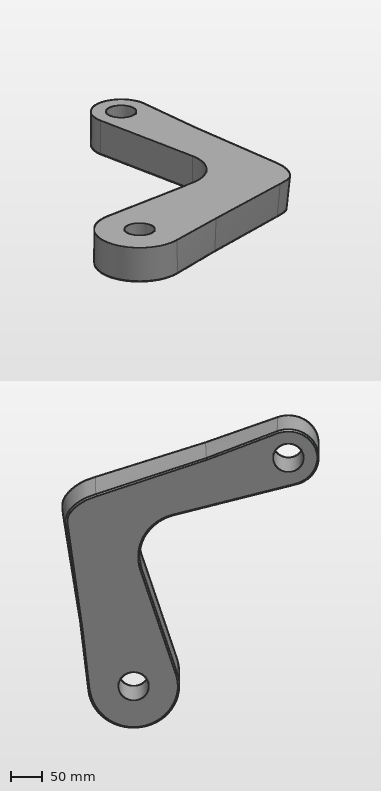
import cadquery as cq
import math

hole_radius = 23.95
arm_radius = 2 * hole_radius
leg_radius = 3 * hole_radius
inner_bend_radius = 3 * hole_radius
thickness = 59.87
bottom_chamfer = 2.6

arm_center = (0.0, 0.0)
leg_center = (383.19, -251.95)

arm_inner_heading = math.radians(9.4)
leg_inner_heading = math.radians(-82.8)

arm_kink = (118.0, 56.0)
leg_kink = (421.6, -131.0)
elbow_start = (300.0, 74.75)
elbow_apex = (320.0, 75.7)
elbow_shoulder = (359.6, 62.0)
elbow_end = (375.0, 30.0)
elbow_center = (318.0, 15.0)

elbow_lean_angle = math.radians(5.7)
elbow_lean = thickness * math.tan(elbow_lean_angle)
kink_lean = 3.4


def along(point, heading, distance):
    """Point reached from `point` by moving `distance` in direction `heading`."""
    return (point[0] + distance * math.cos(heading), point[1] + distance * math.sin(heading))


def heading_to(start, end):
    return math.atan2(end[1] - start[1], end[0] - start[0])


def pulled_in(point, distance):
    """Point moved by `distance` towards the elbow center."""
    return along(point, heading_to(point, elbow_center), distance)


def tangent_point(center, radius, outside_point, side):
    """Touch point of the tangent from `outside_point`; side is +1 counterclockwise, -1 clockwise."""
    reach = math.dist(center, outside_point)
    swing = math.acos(radius / reach)
    return along(center, heading_to(center, outside_point) + side * swing, radius)


def crossing(point_a, heading_a, point_b, heading_b):
    """Intersection of two lines, each given by a point and a heading."""
    dx = point_b[0] - point_a[0]
    dy = point_b[1] - point_a[1]
    travel = (dx * math.sin(heading_b) - dy * math.cos(heading_b)) / math.sin(heading_b - heading_a)
    return along(point_a, heading_a, travel)


def outline(plane, elbow_inset, kink_inset):
    """Closed outline of the lever, with its outer wall moved inward by the insets."""
    arm_bend = (arm_kink[0], arm_kink[1] - kink_inset)
    leg_bend = (leg_kink[0] - kink_inset, leg_kink[1])
    start, apex, shoulder, end = [
        pulled_in(point, elbow_inset)
        for point in (elbow_start, elbow_apex, elbow_shoulder, elbow_end)
    ]
    start_heading = heading_to(arm_bend, start)
    end_heading = heading_to(end, leg_bend)

    arm_outer = tangent_point(arm_center, arm_radius, arm_bend, 1)
    arm_inner = along(arm_center, arm_inner_heading - math.pi / 2, arm_radius)
    arm_tip = (arm_center[0] - arm_radius, arm_center[1])
    leg_outer = tangent_point(leg_center, leg_radius, leg_bend, -1)
    leg_inner = along(leg_center, leg_inner_heading - math.pi / 2, leg_radius)
    leg_tip = (leg_center[0], leg_center[1] - leg_radius)

    inner_corner = crossing(arm_inner, arm_inner_heading, leg_inner, leg_inner_heading)
    turn = arm_inner_heading - leg_inner_heading
    setback = inner_bend_radius * math.tan(turn / 2)
    bend_start = along(inner_corner, arm_inner_heading, -setback)
    bend_end = along(inner_corner, leg_inner_heading, setback)
    bend_center = along(bend_start, arm_inner_heading - math.pi / 2, inner_bend_radius)
    bend_middle = along(bend_center, heading_to(bend_center, inner_corner), inner_bend_radius)

    return (
        plane.moveTo(*arm_outer)
        .lineTo(*arm_bend)
        .lineTo(*start)
        .spline(
            [apex, shoulder, end],
            tangents=[along((0, 0), start_heading, 1), along((0, 0), end_heading, 1)],
            includeCurrent=True,
        )
        .lineTo(*leg_bend)
        .lineTo(*leg_outer)
        .threePointArc(leg_tip, leg_inner)
        .lineTo(*bend_end)
        .threePointArc(bend_middle, bend_start)
        .lineTo(*arm_inner)
        .threePointArc(arm_tip, arm_outer)
        .close()
    )


def lever_body():
    bottom = outline(cq.Workplane("XY"), elbow_lean, kink_lean)
    body = outline(bottom.workplane(offset=thickness), 0, 0).loft(ruled=True)
    return body.faces("<Z").edges().chamfer(bottom_chamfer)


def pivot_holes():
    return (
        cq.Workplane("XY")
        .pushPoints([arm_center, leg_center])
        .circle(hole_radius)
        .extrude(thickness)
    )


result = lever_body().cut(pivot_holes())